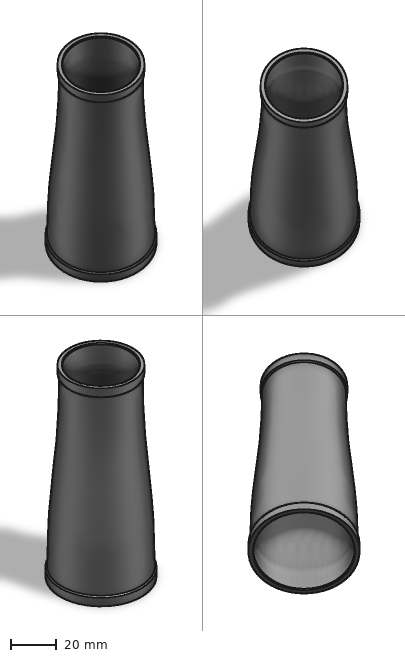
import cadquery as cq

height = 110.8
base_collar_radius = 24.4
top_collar_radius = 19.1

base_body_radius = 23.6
top_body_radius = 18.4
collar_height = 4.5
collar_chamfer = 0.7
straight_end = 5.5

wall = 1.5
top_bore_radius = top_body_radius - wall
base_bore_radius = base_body_radius - wall
mouth_chamfer_width = 0.3
mouth_chamfer_length = 0.7
bore_depth = 10.6
relief = 0.4
taper_end = 15.0
bore_curve_start = 16.2


def s_curve(profile, start, end):
    """Add two equal bends, vertical at both ends and tangent where they meet halfway."""
    middle = ((start[0] + end[0]) / 2, (start[1] + end[1]) / 2)
    lower_control = (start[0], (start[1] + middle[1]) / 2)
    upper_control = (end[0], (middle[1] + end[1]) / 2)
    profile = profile.bezier([start, lower_control, middle])
    return profile.bezier([middle, upper_control, end])


def outer_body():
    profile = (
        cq.Workplane("XZ")
        .lineTo(base_collar_radius, 0)
        .lineTo(base_collar_radius, collar_height)
        .lineTo(base_body_radius, collar_height + collar_chamfer)
        .lineTo(base_body_radius, straight_end)
    )
    profile = s_curve(
        profile, (base_body_radius, straight_end), (top_body_radius, height - straight_end)
    )
    profile = (
        profile.lineTo(top_body_radius, height - collar_height - collar_chamfer)
        .lineTo(top_collar_radius, height - collar_height)
        .lineTo(top_collar_radius, height)
        .lineTo(0, height)
        .close()
    )
    return profile.revolve(360, (0, 0), (0, 1))


def bore():
    base_relief_radius = base_bore_radius + relief
    top_relief_radius = top_bore_radius + relief
    profile = (
        cq.Workplane("XZ")
        .lineTo(base_bore_radius + mouth_chamfer_width, 0)
        .lineTo(base_bore_radius, mouth_chamfer_length)
        .lineTo(base_bore_radius, bore_depth)
        .lineTo(base_relief_radius, taper_end)
        .lineTo(base_relief_radius, bore_curve_start)
    )
    profile = s_curve(
        profile,
        (base_relief_radius, bore_curve_start),
        (top_relief_radius, height - bore_curve_start),
    )
    profile = (
        profile.lineTo(top_relief_radius, height - taper_end)
        .lineTo(top_bore_radius, height - bore_depth)
        .lineTo(top_bore_radius, height - mouth_chamfer_length)
        .lineTo(top_bore_radius + mouth_chamfer_width, height)
        .lineTo(0, height)
        .close()
    )
    return profile.revolve(360, (0, 0), (0, 1))


seam_angle = -90
result = outer_body().cut(bore()).rotate((0, 0, 0), (0, 0, 1), seam_angle)